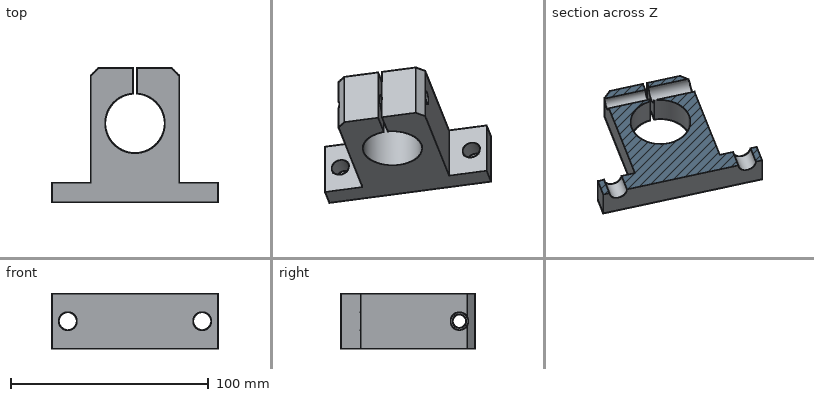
import cadquery as cq

base_length = 84.0
base_thickness = 10.0
depth = 28.0
total_height = 68.0

block_width = 45.0
corner_chamfer = 4.0

bore_diameter = 30.0
bore_center_y = 40.0
slit_width = 2.0

mount_hole_diameter = 9.0
mount_hole_spacing = 68.0
tapped_hole_diameter = 6.65
clearance_hole_diameter = 9.0
clamp_hole_from_top = 8.0

mid_z = depth / 2


def make_body():
    """Inverted-T body with its foot on Y = 0 and its top corners chamfered."""
    base = cq.Workplane("XY").box(base_length, base_thickness, depth, centered=(True, False, False))
    block = (
        cq.Workplane("XY")
        .box(block_width, total_height, depth, centered=(True, False, False))
        .faces(">Y")
        .edges("|Z")
        .chamfer(corner_chamfer)
    )
    return base.union(block)


def make_bore():
    """Shaft bore along Z."""
    return cq.Workplane("XY").center(0, bore_center_y).circle(bore_diameter / 2).extrude(depth)


def make_slit():
    """Slit from the bore axis out through the top of the block."""
    return (
        cq.Workplane("XY")
        .center(0, bore_center_y)
        .box(slit_width, total_height - bore_center_y, depth, centered=(True, False, False))
    )


def make_mount_holes():
    """Two holes through the base along Y, one in each foot."""
    half_spacing = mount_hole_spacing / 2
    return (
        cq.Workplane("XZ")
        .pushPoints([(-half_spacing, mid_z), (half_spacing, mid_z)])
        .circle(mount_hole_diameter / 2)
        .extrude(-base_thickness)
    )


def make_clamp_hole():
    """Clamp screw hole along X: tapped size in the -X jaw, clearance size in the +X jaw."""
    axis = cq.Workplane("YZ").center(total_height - clamp_hole_from_top, mid_z)
    tapped_hole = axis.circle(tapped_hole_diameter / 2).extrude(-block_width / 2)
    clearance_hole = axis.circle(clearance_hole_diameter / 2).extrude(block_width / 2)
    return tapped_hole.union(clearance_hole)


result = (
    make_body()
    .cut(make_bore())
    .cut(make_slit())
    .cut(make_mount_holes())
    .cut(make_clamp_hole())
)